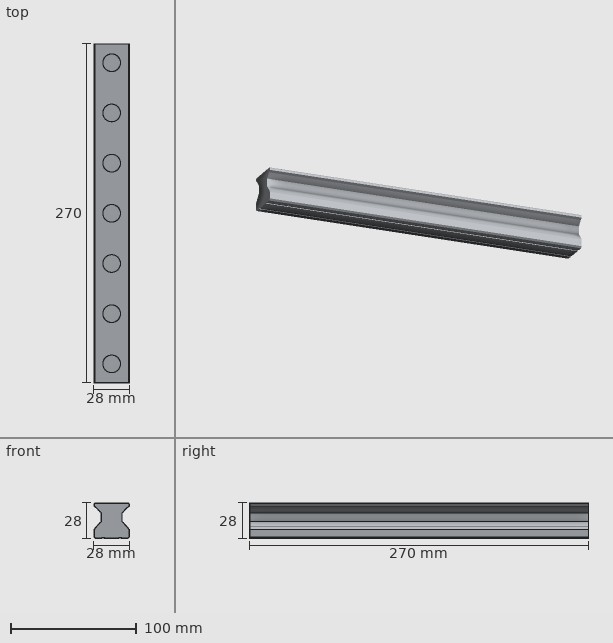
import cadquery as cq

length = 270.0
width = 28.0
height = 28.0

half_width = width / 2
shoulder_half_width = 12.2
web_half_width = 8.5

head_side_end = 2.5
upper_shoulder = 3.8
web_start = 7.8
web_end = 14.5
lower_shoulder = 18.5
foot_side_start = 21.0

top_chamfer = 0.8
bottom_chamfer = 1.4

groove_center = 6.8
groove_width = 2.5
groove_depth = 0.5

cap_diameter = 14.0
cap_count = 7
cap_pitch = 40.0
cap_depth = 0.14

top = height / 2
bottom = -height / 2


def half_profile():
    """Right-hand half of the rail section, from the top face down."""
    return [
        (half_width - top_chamfer, top),
        (half_width, top - top_chamfer),
        (half_width, top - head_side_end),
        (shoulder_half_width, top - upper_shoulder),
        (web_half_width, top - web_start),
        (web_half_width, top - web_end),
        (shoulder_half_width, top - lower_shoulder),
        (half_width, top - foot_side_start),
        (half_width, bottom + bottom_chamfer),
        (half_width - bottom_chamfer, bottom),
    ]


def rail_body():
    right = half_profile()
    left = [(-x, z) for x, z in reversed(right)]
    outline = cq.Workplane("XZ").polyline(right + left).close()
    return outline.extrude(length / 2, both=True)


def underside_grooves():
    return (
        cq.Workplane("XY", origin=(0, 0, bottom))
        .pushPoints([(-groove_center, 0), (groove_center, 0)])
        .rect(groove_width, length)
        .extrude(groove_depth)
    )


def cap_seats():
    return (
        cq.Workplane("XY", origin=(0, 0, top))
        .rarray(2.7, cap_pitch, 1, cap_count)
        .circle(cap_diameter / 2)
        .extrude(-cap_depth)
    )


result = rail_body().cut(underside_grooves()).cut(cap_seats())